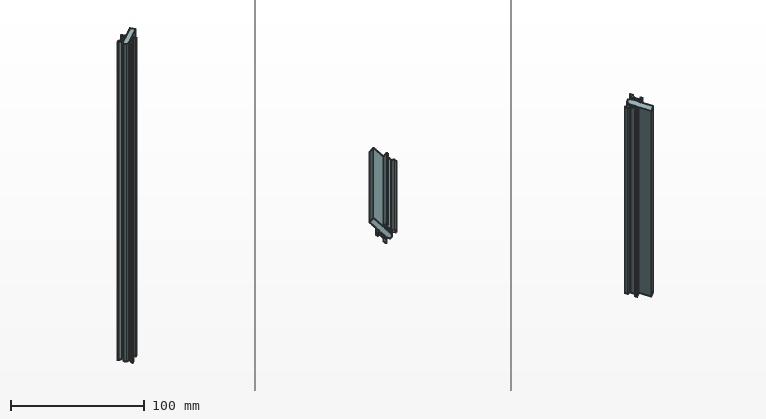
import cadquery as cq

length = 300.0
width = 12.0
depth = 19.8

blade_width = 4.5
blade_tip_width = 2.5
blade_taper = 2.0

flange_top = 0.0
flange_thickness = 1.2
lip_height = 1.8
lip_thickness = 0.3

leg_outer = 4.2
leg_thickness = 1.0
flare_start = -5.7
flare_bend_x = 4.5
flare_bend_y = -6.5
foot_shoulder = -7.5
foot_tip_width = 1.0
foot_inner_start = -7.5

half_width = width / 2
half_depth = depth / 2
flange_bottom = flange_top - flange_thickness
leg_inner = leg_outer - leg_thickness


def extrude_outline(points):
    """Extrude a closed XY outline over the full length, centred on Z = 0."""
    return cq.Workplane("XY").workplane(offset=-length / 2).polyline(points).close().extrude(length)


def make_blade():
    half_blade = blade_width / 2
    half_tip = blade_tip_width / 2
    taper_start = -half_depth + blade_taper
    return extrude_outline([
        (-half_blade, half_depth),
        (half_blade, half_depth),
        (half_blade, taper_start),
        (half_tip, -half_depth),
        (-half_tip, -half_depth),
        (-half_blade, taper_start),
    ])


def make_flange():
    return extrude_outline([
        (-half_width, flange_top),
        (half_width, flange_top),
        (half_width, flange_bottom),
        (-half_width, flange_bottom),
    ])


def make_lip():
    """Lip on the +X edge of the flange."""
    lip_inner = half_width - lip_thickness
    lip_bottom = flange_top - lip_height
    return extrude_outline([
        (lip_inner, flange_top),
        (half_width, flange_top),
        (half_width, lip_bottom),
        (lip_inner, lip_bottom),
    ])


def make_leg():
    """Leg on the +X side, hanging from the flange."""
    return extrude_outline([
        (leg_inner, flange_top),
        (leg_outer, flange_top),
        (leg_outer, flare_start),
        (flare_bend_x, flare_bend_y),
        (half_width, foot_shoulder),
        (half_width, -half_depth),
        (half_width - foot_tip_width, -half_depth),
        (leg_inner, foot_inner_start),
    ])


side_features = make_lip().union(make_leg())
result = make_blade().union(make_flange()).union(side_features).union(side_features.mirror("YZ"))